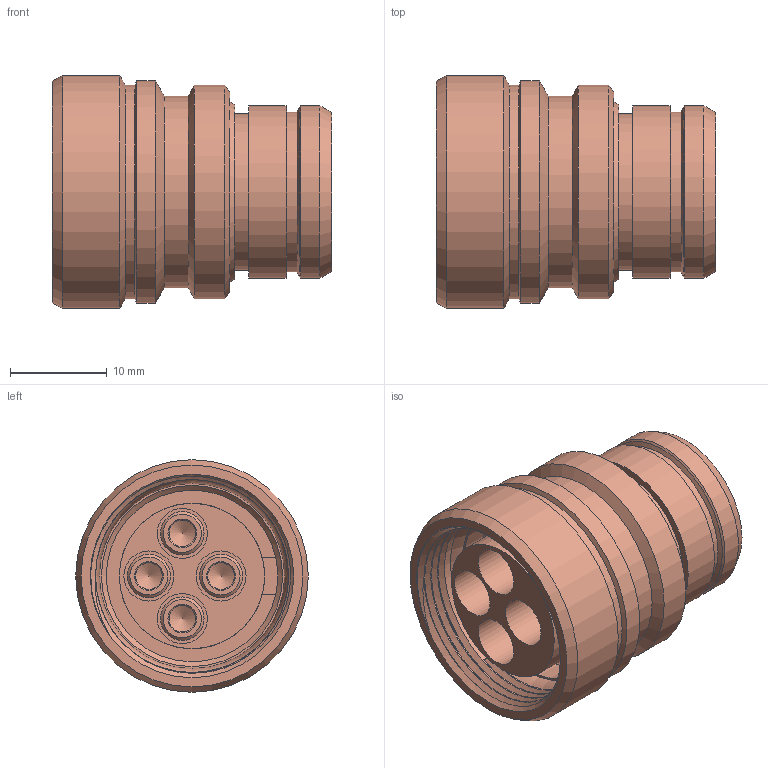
import cadquery as cq
import math

LENGTH = 28.8
CHAMFER_SLOPE = math.tan(math.radians(60))

COLLAR_RADIUS = 12.0
COLLAR_END = 6.95
MOUTH_BEVEL_LENGTH = 1.05
MOUTH_BEVEL_DEPTH = 0.55

BODY_RADIUS = 11.0
FLANGE_START = 8.5
FLANGE_LEAD = 0.2
FLANGE_RADIUS = 11.5
FLANGE_END = 10.6
NECK_RADIUS = 9.88

RING_START = 14.65
RING_END = 17.8
RING_BACK_X = 18.3
RING_BACK_RADIUS = 10.25
SHOULDER_FRONT_RADIUS = 9.3
SHOULDER_BACK_RADIUS = 9.0
SHOULDER_END = 18.8

REAR_NECK_RADIUS = 8.1
BARREL_START = 20.25
BARREL_RADIUS = 8.9
GROOVE_START = 24.1
GROOVE_FLOOR_START = 24.2
GROOVE_FLOOR_END = 25.25
GROOVE_STEP_X = 25.45
GROOVE_STEP_RADIUS = 8.7
GROOVE_END = 25.6
GROOVE_RADIUS = 8.25
TAIL_START = 27.6
TAIL_RADIUS = 8.2

THREAD_MAJOR_RADIUS = 10.5
THREAD_MINOR_RADIUS = 9.96
THREAD_PITCH = 1.0
THREAD_START = -0.65
THREAD_END = 4.4
THREAD_DEPTH = THREAD_MAJOR_RADIUS - THREAD_MINOR_RADIUS
THREAD_GROOVE_WIDTH = 0.96
THREAD_CUT_OVERLAP = 0.05
RELIEF_RADIUS = 9.55
RELIEF_END = 5.8
MIDDLE_RADIUS = 9.35
INNER_RADIUS = 8.85
INNER_START = 9.0
CAVITY_FLOOR = 10.0

INSERT_RADIUS = 7.5
INSERT_FRONT = 2.1
KEY_WIDTH = 3.8
KEY_FRONT = INNER_START

CONTACT_CENTRES = [(4.45, 0.0), (-3.0, 0.0), (1.0, 4.4), (1.0, -4.4)]
CONTACT_HOLE_RADIUS = 2.58
CONTACT_HOLE_FLOOR = 8.5
CONTACT_RADIUS = 2.24
CONTACT_RIM_RADIUS = 1.96
CONTACT_FRONT = 7.0
CONTACT_BORE_RADIUS = 1.37
CONTACT_BORE_RIM_RADIUS = 1.48
CONTACT_BORE_DEPTH = 6.0
DRILL_POINT_ANGLE = 118


def revolve_about_x(points):
    """Solid of revolution about the X axis from (x, radius) points."""
    return cq.Workplane("XY").polyline(points).close().revolve(360, (0, 0, 0), (1, 0, 0))


def flank_length(large_radius, small_radius):
    """Axial length of a 60 degree flank between two radii."""
    return (large_radius - small_radius) / CHAMFER_SLOPE


def make_body():
    """Outer form of the connector as one solid turning."""
    return revolve_about_x([
        (0, 0),
        (0, COLLAR_RADIUS - MOUTH_BEVEL_DEPTH),
        (MOUTH_BEVEL_LENGTH, COLLAR_RADIUS),
        (COLLAR_END, COLLAR_RADIUS),
        (COLLAR_END + flank_length(COLLAR_RADIUS, BODY_RADIUS), BODY_RADIUS),
        (FLANGE_START, BODY_RADIUS),
        (FLANGE_START + FLANGE_LEAD, FLANGE_RADIUS),
        (FLANGE_END, FLANGE_RADIUS),
        (FLANGE_END + flank_length(FLANGE_RADIUS, NECK_RADIUS), NECK_RADIUS),
        (RING_START - flank_length(BODY_RADIUS, NECK_RADIUS), NECK_RADIUS),
        (RING_START, BODY_RADIUS),
        (RING_END, BODY_RADIUS),
        (RING_BACK_X, RING_BACK_RADIUS),
        (RING_BACK_X, SHOULDER_FRONT_RADIUS),
        (SHOULDER_END, SHOULDER_BACK_RADIUS),
        (SHOULDER_END, REAR_NECK_RADIUS),
        (BARREL_START, REAR_NECK_RADIUS),
        (BARREL_START, BARREL_RADIUS),
        (GROOVE_START, BARREL_RADIUS),
        (GROOVE_FLOOR_START, GROOVE_RADIUS),
        (GROOVE_FLOOR_END, GROOVE_RADIUS),
        (GROOVE_STEP_X, GROOVE_STEP_RADIUS),
        (GROOVE_END, BARREL_RADIUS),
        (TAIL_START, BARREL_RADIUS),
        (LENGTH, TAIL_RADIUS),
        (LENGTH, 0),
    ])


def make_cavity():
    """Stepped bore: chamfered mouth, thread bore, rounded relief, small step and inner bore."""
    round_rise = THREAD_MINOR_RADIUS - RELIEF_RADIUS
    round_length = RELIEF_END - THREAD_END
    round_radius = (round_length**2 + round_rise**2) / (2 * round_rise)
    inner_cone_length = MIDDLE_RADIUS - INNER_RADIUS
    return (
        cq.Workplane("XY")
        .moveTo(0, 0)
        .lineTo(0, THREAD_MAJOR_RADIUS)
        .lineTo(THREAD_DEPTH, THREAD_MINOR_RADIUS)
        .lineTo(THREAD_END, THREAD_MINOR_RADIUS)
        .radiusArc((RELIEF_END, RELIEF_RADIUS), -round_radius)
        .lineTo(RELIEF_END, MIDDLE_RADIUS)
        .lineTo(INNER_START - inner_cone_length, MIDDLE_RADIUS)
        .lineTo(INNER_START, INNER_RADIUS)
        .lineTo(CAVITY_FLOOR, INNER_RADIUS)
        .lineTo(CAVITY_FLOOR, 0)
        .close()
        .revolve(360, (0, 0, 0), (1, 0, 0))
    )


def make_thread_groove():
    """Helical V groove cut into the thread bore."""
    base_radius = THREAD_MINOR_RADIUS - THREAD_CUT_OVERLAP
    half_width = THREAD_GROOVE_WIDTH / 2
    helix_length = THREAD_END - half_width - THREAD_START
    axis = cq.Vector(1, 0, 0)
    thread_origin = cq.Vector(THREAD_START, 0, 0)
    helix = cq.Wire.makeHelix(THREAD_PITCH, helix_length, base_radius, thread_origin, axis)
    helix_start = helix.startPoint()
    outward = helix_start - thread_origin
    profile_plane = cq.Plane(helix_start, axis, axis.cross(outward))
    profile = (
        cq.Workplane(profile_plane)
        .moveTo(-half_width, 0)
        .lineTo(half_width, 0)
        .lineTo(0, THREAD_DEPTH + THREAD_CUT_OVERLAP)
        .close()
    )
    return profile.sweep(cq.Workplane(obj=helix), isFrenet=True)


def make_insert():
    """Contact carrier standing on the cavity floor, with its key on the -Y side."""
    insert = (
        cq.Workplane("YZ", origin=(INSERT_FRONT, 0, 0))
        .circle(INSERT_RADIUS)
        .extrude(CAVITY_FLOOR - INSERT_FRONT)
    )
    key = (
        cq.Workplane("YZ", origin=(KEY_FRONT, 0, 0))
        .center(-INNER_RADIUS / 2, 0)
        .rect(INNER_RADIUS, KEY_WIDTH)
        .extrude(CAVITY_FLOOR - KEY_FRONT)
    )
    return insert.union(key.intersect(make_cavity()))


def make_contact_cut():
    """Contact chamber around a chamfered socket with a drilled bore, on the X axis."""
    outer_rim = CONTACT_RADIUS - CONTACT_RIM_RADIUS
    inner_rim = CONTACT_BORE_RIM_RADIUS - CONTACT_BORE_RADIUS
    bore_end = CONTACT_FRONT + CONTACT_BORE_DEPTH
    point_length = CONTACT_BORE_RADIUS / math.tan(math.radians(DRILL_POINT_ANGLE / 2))
    return revolve_about_x([
        (INSERT_FRONT, 0),
        (INSERT_FRONT, CONTACT_HOLE_RADIUS),
        (CONTACT_HOLE_FLOOR, CONTACT_HOLE_RADIUS),
        (CONTACT_HOLE_FLOOR, CONTACT_RADIUS),
        (CONTACT_FRONT + outer_rim, CONTACT_RADIUS),
        (CONTACT_FRONT, CONTACT_RIM_RADIUS),
        (CONTACT_FRONT, CONTACT_BORE_RIM_RADIUS),
        (CONTACT_FRONT + inner_rim, CONTACT_BORE_RADIUS),
        (bore_end, CONTACT_BORE_RADIUS),
        (bore_end + point_length, 0),
    ])


shell = make_body().cut(make_cavity()).cut(make_thread_groove())
result = shell.union(make_insert())
for contact_y, contact_z in CONTACT_CENTRES:
    result = result.cut(make_contact_cut().translate((0, contact_y, contact_z)))